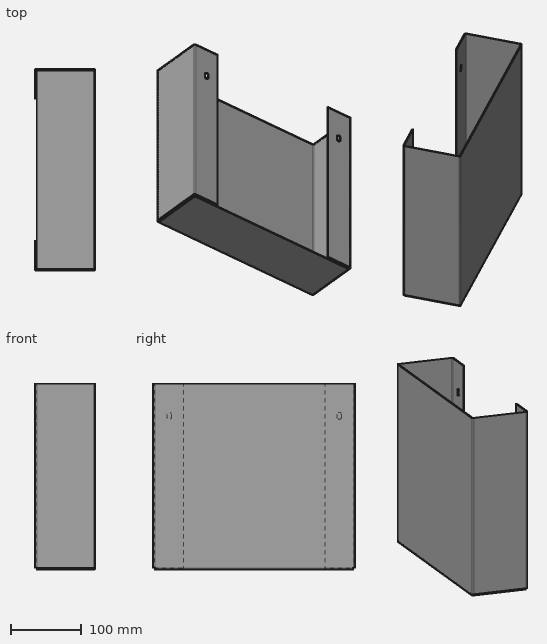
import cadquery as cq

depth_x = 85.0
width_y = 285.0
height_z = 262.5

sheet = 1.5
bend_outer_radius = 2.5
bend_inner_radius = bend_outer_radius - sheet

opening_width = 200.0

slot_length = 10.0
slot_width = 6.0
slot_spacing = 240.0
slot_below_top = 45.0

wall_height = height_z - bend_outer_radius
wall_bottom = bend_outer_radius
x_open = -depth_x / 2
x_back = depth_x / 2


def upright_shell():
    """C-shaped channel: back wall, two side walls and two return flanges."""
    outer = (
        cq.Workplane("XY", origin=(0, 0, wall_bottom))
        .rect(depth_x, width_y)
        .extrude(wall_height)
        .edges("|Z")
        .fillet(bend_outer_radius)
    )
    inner = (
        cq.Workplane("XY", origin=(0, 0, wall_bottom))
        .rect(depth_x - 2 * sheet, width_y - 2 * sheet)
        .extrude(wall_height)
        .edges("|Z")
        .fillet(bend_inner_radius)
    )
    opening = (
        cq.Workplane("XY", origin=(x_open + sheet / 2, 0, wall_bottom))
        .rect(sheet, opening_width)
        .extrude(wall_height)
    )
    return outer.cut(inner).cut(opening)


def bottom_plate():
    """Floor folded from the back wall, clear of the corner bends on its other sides."""
    plate_width = width_y - 2 * bend_outer_radius
    x_plate = x_open + bend_outer_radius
    x_bend = x_back - bend_outer_radius
    return (
        cq.Workplane("XZ", origin=(0, plate_width / 2, 0))
        .moveTo(x_plate, 0)
        .lineTo(x_bend, 0)
        .radiusArc((x_back, wall_bottom), -bend_outer_radius)
        .lineTo(x_back - sheet, wall_bottom)
        .radiusArc((x_bend, sheet), bend_inner_radius)
        .lineTo(x_plate, sheet)
        .close()
        .extrude(plate_width)
    )


def mounting_slots():
    """Upright slot cutters running through the return flanges."""
    slot_z = height_z - slot_below_top
    return (
        cq.Workplane("YZ", origin=(x_open, 0, 0))
        .pushPoints([(side * slot_spacing / 2, slot_z) for side in (-1, 1)])
        .slot2D(slot_length, slot_width, 90)
        .extrude(sheet)
    )


result = upright_shell().union(bottom_plate()).cut(mounting_slots())